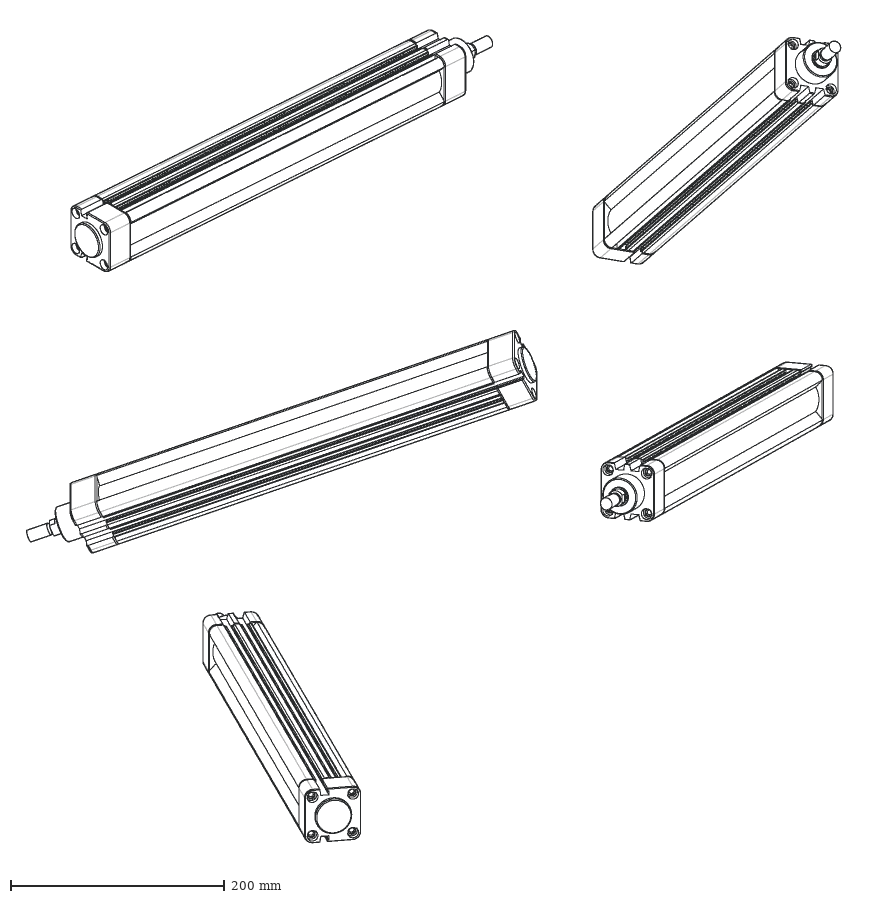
import cadquery as cq
import math

ROD_TIP = 256.5
THREAD_END = 236.0
ROD_SHOULDER = 233.0
FLATS_END = 227.5
SEAL_FACE = 224.5
BOSS_FACE = 222.5
FRONT_CAP_FACE = 203.0
CAP_LENGTH = 27.5
REAR_CAP_FACE = -252.5
REAR_BOSS_FACE = -256.5
BARREL_FRONT = FRONT_CAP_FACE - CAP_LENGTH
BARREL_REAR = REAR_CAP_FACE + CAP_LENGTH

WIDTH = 54.0
HALF = WIDTH / 2
CORNER_RADIUS = 7.5
POST = HALF - CORNER_RADIUS
CAP_CHAMFER_LENGTH = 1.5
CAP_CHAMFER_INSET = 0.5

BOSS_DIAMETER = 35.0
BOSS_CHAMFER = 1.0
SEAL_DIAMETER = 18.0
ROD_DIAMETER = 15.5
THREAD_DIAMETER = 12.0
NECK_DIAMETER = 11.0
FLATS_WIDTH = 13.5

HOLE_OFFSET = 19.5
HOLE_DIAMETER = 4.5
COUNTERBORE_DIAMETER = 10.5
COUNTERBORE_DEPTH = 1.0
SOCKET_DIAMETER = 7.0
SOCKET_DEPTH = 1.5

TUBE_RADIUS = 23.0
CHANNEL_HALF_HEIGHT = 12.0

SLOT_OFFSET = 7.5
SLOT_DEPTH = 6.0
SLOT_FLOOR = HALF - SLOT_DEPTH
SLOT_MOUTH_WIDTH = 11.0
SLOT_STEP_WIDTH = 7.5
SLOT_STEP_DEPTH = 1.5
SLOT_NECK_WIDTH = 5.0
LIP_DEPTH = 3.5
GROOVE_WALL_X = 14.0

NOTCH_TOP_WIDTH = 11.0
NOTCH_FLOOR_WIDTH = 7.5
REAR_SLOT_WIDTH = 7.5
REAR_SLOPE_INSET = 1.0
REAR_LIP_WIDTH = 1.0
REAR_LIP_DEPTH = 2.5


def xz_plane(y):
    """Plane across the axis at station y; extruding from it goes toward -Y."""
    return cq.Workplane(cq.Plane(origin=(0, y, 0), xDir=(1, 0, 0), normal=(0, -1, 0)))


def disc(diameter, front, rear):
    return xz_plane(front).circle(diameter / 2).extrude(front - rear)


def both_faces(cutter):
    """The cutter at the top together with its mirror image at the bottom."""
    return cutter.union(cutter.mirror("XY"))


def square_bar(front, rear):
    bar = xz_plane(front).rect(WIDTH, WIDTH).extrude(front - rear)
    return bar.edges("|Y").fillet(CORNER_RADIUS)


def channel_cutter(front, rear):
    """Side channel with sloping walls that leaves a stretch of the tube wall."""
    inner_x = math.sqrt(TUBE_RADIUS**2 - CHANNEL_HALF_HEIGHT**2)
    return (
        xz_plane(front)
        .moveTo(-HALF, POST)
        .lineTo(-inner_x, CHANNEL_HALF_HEIGHT)
        .threePointArc((-TUBE_RADIUS, 0), (-inner_x, -CHANNEL_HALF_HEIGHT))
        .lineTo(-HALF, -POST)
        .close()
        .extrude(front - rear)
    )


def slot_prism(right_wall, x, front, rear):
    """Top and bottom slot centred on x; right_wall runs down from mouth to floor."""
    points = [(x + dx, z) for dx, z in right_wall]
    points += [(x - dx, z) for dx, z in reversed(right_wall)]
    return both_faces(xz_plane(front).polyline(points).close().extrude(front - rear))


def slot_cutter(x, front, rear):
    """Barrel sensor slot: sloping mouth, step, narrow neck and undercut below the lips."""
    step_z = HALF - SLOT_STEP_DEPTH
    lip_z = HALF - LIP_DEPTH
    right_wall = [
        (SLOT_MOUTH_WIDTH / 2, HALF),
        (SLOT_STEP_WIDTH / 2, step_z),
        (SLOT_NECK_WIDTH / 2, step_z),
        (SLOT_NECK_WIDTH / 2, lip_z),
        (SLOT_STEP_WIDTH / 2, lip_z),
        (SLOT_STEP_WIDTH / 2, SLOT_FLOOR),
    ]
    return slot_prism(right_wall, x, front, rear)


def groove_cutter(front, rear):
    """Groove beside the +X slot: an upright wall and a 45 degree slope up to the corner."""
    groove_depth = POST - GROOVE_WALL_X
    points = [(GROOVE_WALL_X, HALF), (POST, HALF), (GROOVE_WALL_X, HALF - groove_depth)]
    return both_faces(xz_plane(front).polyline(points).close().extrude(front - rear))


def make_barrel():
    span = (BARREL_FRONT, BARREL_REAR)
    side_channel = channel_cutter(*span)
    barrel = square_bar(*span).cut(side_channel).cut(side_channel.mirror("YZ"))
    for x in (-SLOT_OFFSET, SLOT_OFFSET):
        barrel = barrel.cut(slot_cutter(x, *span))
    return barrel.cut(groove_cutter(*span))


def make_cap(front):
    """Plain end cap, chamfered around both end faces."""
    cap = square_bar(front, front - CAP_LENGTH)
    return cap.faces("<Y or >Y").chamfer(CAP_CHAMFER_LENGTH, CAP_CHAMFER_INSET)


def make_front_cap():
    """Front cap with two notches that leave a ridge between them."""
    cap = make_cap(FRONT_CAP_FACE)
    right_wall = [(NOTCH_TOP_WIDTH / 2, HALF), (NOTCH_FLOOR_WIDTH / 2, SLOT_FLOOR)]
    for x in (-SLOT_OFFSET, SLOT_OFFSET):
        cap = cap.cut(slot_prism(right_wall, x, FRONT_CAP_FACE, BARREL_FRONT))
    return cap


def make_rear_cap():
    """Rear cap with one slot at -X: sloping outer wall, lip over the inner wall."""
    outer_wall = -SLOT_OFFSET - REAR_SLOT_WIDTH / 2
    inner_wall = -SLOT_OFFSET + REAR_SLOT_WIDTH / 2
    lip_edge = inner_wall - REAR_LIP_WIDTH
    lip_z = HALF - REAR_LIP_DEPTH
    points = [
        (outer_wall - REAR_SLOPE_INSET, HALF),
        (outer_wall, SLOT_FLOOR),
        (inner_wall, SLOT_FLOOR),
        (inner_wall, lip_z),
        (lip_edge, lip_z),
        (lip_edge, HALF),
    ]
    slot = xz_plane(BARREL_REAR).polyline(points).close().extrude(CAP_LENGTH)
    return make_cap(BARREL_REAR).cut(both_faces(slot))


def corner_holes(diameter, start, depth):
    """Four holes from station start; a positive depth runs toward -Y, a negative one toward +Y."""
    spacing = 2 * HOLE_OFFSET
    return xz_plane(start).rarray(spacing, spacing, 2, 2).circle(diameter / 2).extrude(depth)


def make_housing():
    front_boss = disc(BOSS_DIAMETER, BOSS_FACE, FRONT_CAP_FACE).faces(">Y").chamfer(BOSS_CHAMFER)
    rear_boss = disc(BOSS_DIAMETER, REAR_CAP_FACE, REAR_BOSS_FACE).faces("<Y").chamfer(BOSS_CHAMFER)
    seal = disc(SEAL_DIAMETER, SEAL_FACE, BOSS_FACE)
    housing = make_barrel()
    for piece in (make_front_cap(), make_rear_cap(), front_boss, rear_boss, seal):
        housing = housing.union(piece)

    housing = housing.cut(corner_holes(HOLE_DIAMETER, FRONT_CAP_FACE, FRONT_CAP_FACE - REAR_CAP_FACE))
    for face, direction in ((FRONT_CAP_FACE, 5), (REAR_CAP_FACE, -5)):
        housing = housing.cut(corner_holes(COUNTERBORE_DIAMETER, face, direction * COUNTERBORE_DEPTH))
        housing = housing.cut(corner_holes(SOCKET_DIAMETER, face, direction * SOCKET_DEPTH))

    rod_bore = disc(ROD_DIAMETER, SEAL_FACE, BARREL_FRONT)
    return housing.cut(rod_bore)


def make_rod():
    """Piston rod with wrench flats, a thread relief neck and a threaded end."""
    rod = disc(ROD_DIAMETER, ROD_SHOULDER, BARREL_FRONT)
    flats_length = ROD_SHOULDER - FLATS_END
    between_flats = xz_plane(ROD_SHOULDER).rect(FLATS_WIDTH, ROD_DIAMETER).extrude(flats_length)
    rod = rod.cut(disc(ROD_DIAMETER, ROD_SHOULDER, FLATS_END).cut(between_flats))
    neck = disc(NECK_DIAMETER, THREAD_END, ROD_SHOULDER)
    thread = disc(THREAD_DIAMETER, ROD_TIP, THREAD_END)
    return rod.union(neck).union(thread)


housing = make_housing()
rod = make_rod()
result = cq.Compound.makeCompound([housing.val(), rod.val()])